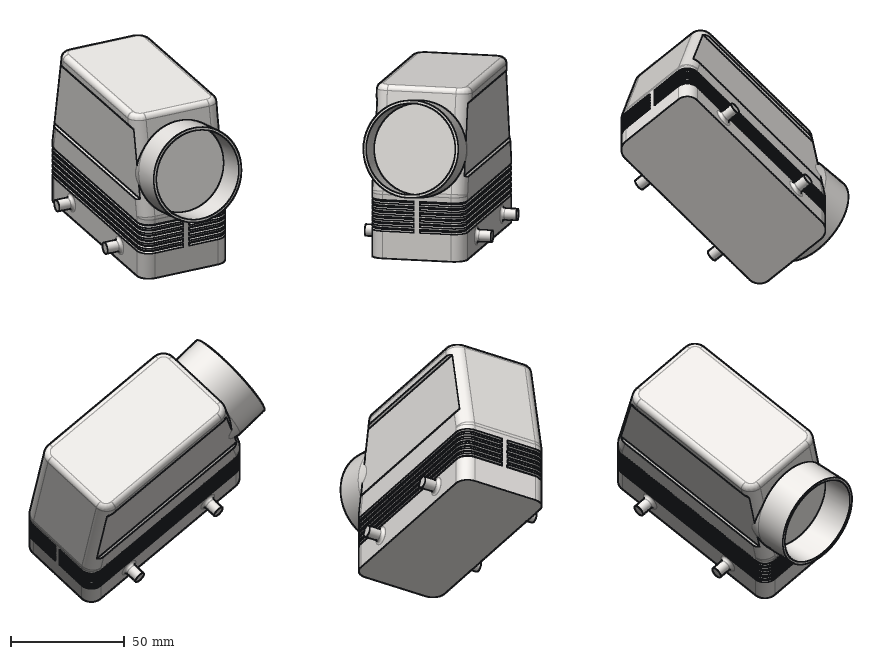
import cadquery as cq
import math

body_length = 93.6
body_width = 42.9
body_height = 76.0
shoulder_height = 29.6
end_slope = 0.2
corner_radius = 6.0
shoulder_radius = 7.6
top_radius = 2.7

panel_bottom = 37.1
panel_top = 70.2
panel_depth = 1.0

groove_count = 6
groove_pitch = 2.5
groove_depth = 0.8
groove_flank_angle = 45
lowest_groove_height = 13.1
groove_gap = 2.8

pin_spacing = 47.6
pin_height = 7.5
pin_diameter = 5.2
pin_root_radius = 1.5
pin_embed = 1.1
pin_tip_span = 57.0

port_diameter = body_width
port_wall = 1.3
port_length = 15.4
port_height = 49.2
neck_length = 10.9
neck_taper = 0.18

half_length = body_length / 2
half_width = body_width / 2


def end_position(height):
    """X of the sloping +X end face at a height above the shoulder."""
    return half_length - end_slope * (height - shoulder_height)


def make_body():
    top_half_length = end_position(body_height)
    profile = [
        (-half_length, 0),
        (half_length, 0),
        (half_length, shoulder_height),
        (top_half_length, body_height),
        (-top_half_length, body_height),
        (-half_length, shoulder_height),
    ]
    body = cq.Workplane("XZ").polyline(profile).close().extrude(half_width, both=True)
    body = body.edges("|Y").edges("not(<Z or >Z)").fillet(shoulder_radius)
    body = body.faces("<Y or >Y").edges("not(<Z or >Z)").fillet(corner_radius)
    return body.faces(">Z").edges().fillet(top_radius)


def make_side_panel(side):
    """Cutter for the sunken panel on the +Y (side=1) or -Y (side=-1) face."""
    profile = [
        (side * half_width, panel_bottom),
        (side * (half_width - panel_depth), panel_bottom + panel_depth),
        (side * (half_width - panel_depth), panel_top - panel_depth),
        (side * half_width, panel_top),
    ]
    return cq.Workplane("YZ").polyline(profile).close().extrude(half_length, both=True)


def make_groove(height):
    """Cutter for one V-groove centred on a height."""

    def half_core(direction):
        outline = cq.Sketch().rect(body_length, body_width).vertices().fillet(corner_radius)
        wide_end = cq.Workplane("XY", origin=(0, 0, height - direction * groove_depth))
        return wide_end.placeSketch(outline).extrude(direction * groove_depth, taper=groove_flank_angle)

    groove = cq.Workplane("XY").box(body_length, body_width, 2 * groove_depth)
    groove = groove.translate((0, 0, height))
    groove = groove.cut(half_core(1)).cut(half_core(-1))
    gap = cq.Workplane("XY").box(body_length, groove_gap, 2 * body_height)
    return groove.cut(gap)


def make_pin(x, side):
    """Pin with a concave flared root, pointing along Y away from the body."""
    radius = pin_diameter / 2
    root = half_width
    flare_end = root + pin_root_radius
    flare_middle = pin_root_radius * (1 - math.sqrt(0.5))
    pin = (
        cq.Workplane("XY")
        .moveTo(0, root - pin_embed)
        .lineTo(radius + pin_root_radius, root - pin_embed)
        .lineTo(radius + pin_root_radius, root)
        .threePointArc((radius + flare_middle, root + flare_middle), (radius, flare_end))
        .lineTo(radius, pin_tip_span / 2)
        .lineTo(0, pin_tip_span / 2)
        .close()
        .revolve(360, (0, 0), (0, 1))
    )
    if side < 0:
        pin = pin.mirror("XZ")
    return pin.translate((x, 0, pin_height))


port_plane = cq.Plane(
    origin=(end_position(port_height), 0, port_height),
    xDir=(0, 1, 0),
    normal=(1, 0, end_slope),
)


def make_port():
    """Solid tube blank with a neck that tapers into the body."""
    radius = port_diameter / 2
    neck_radius = radius - neck_taper * neck_length
    tube = cq.Workplane(port_plane).circle(radius).extrude(port_length)
    neck = (
        cq.Workplane(port_plane)
        .circle(radius)
        .workplane(offset=-neck_length)
        .circle(neck_radius)
        .loft()
    )
    return tube.union(neck)


def make_port_bore():
    return cq.Workplane(port_plane).circle(port_diameter / 2 - port_wall).extrude(port_length)


result = make_body()
for side in (-1, 1):
    result = result.cut(make_side_panel(side))
for index in range(groove_count):
    result = result.cut(make_groove(lowest_groove_height + index * groove_pitch))
result = result.union(make_port()).cut(make_port_bore())
for side in (-1, 1):
    for x in (-pin_spacing / 2, pin_spacing / 2):
        result = result.union(make_pin(x, side))